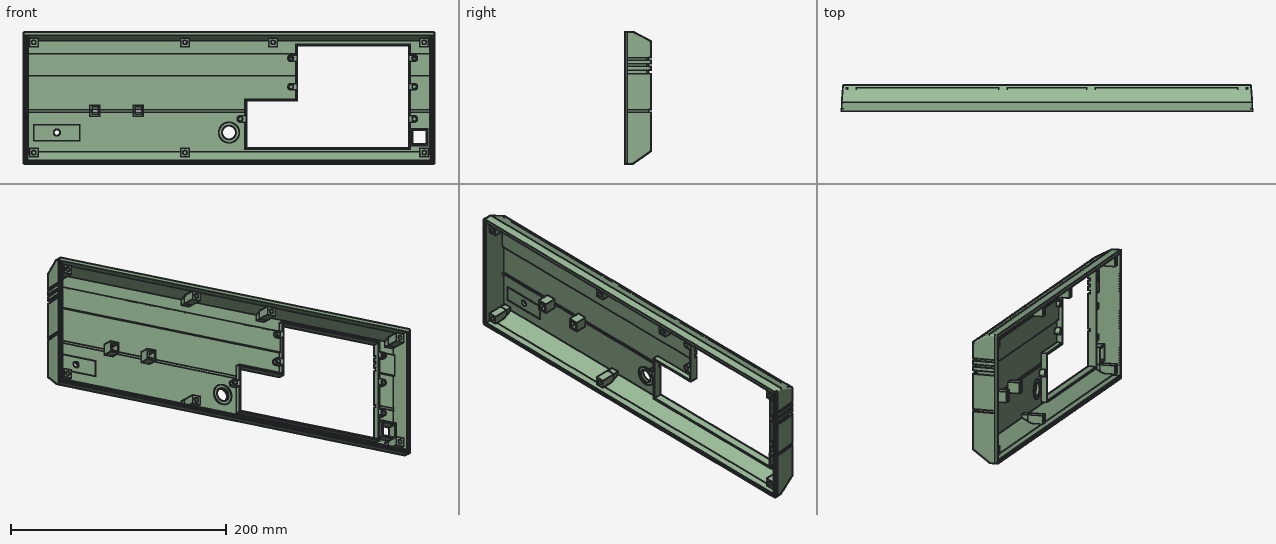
import cadquery as cq
LENGTH = 381.42
DEPTH = 24.54
HEIGHT = 122.5
HALF_LENGTH = LENGTH / 2
HALF_HEIGHT = HEIGHT / 2

RIM_DEPTH = 2.5
RIM_STEP = 0.3
END_TAPER_START = 8.25
END_TAPER = 1.6
EDGE_RADIUS = 1.6

TOP_SLOPE_START = 8.25
TOP_BACK_Z = 52.7
BOTTOM_SLOPE_START = 7.4
BOTTOM_BACK_Z = -49.2

FLOOR_Y = 22.0
END_WALL = 3.45
END_INNER_TAPER = 1.2
TOP_INNER_Z = 58.0
BOTTOM_INNER_Z = -57.8
TOP_FLOOR_Z = 53.1
BOTTOM_FLOOR_Z = -49.7
TOP_INNER_SLOPE_START = 8.5
BOTTOM_INNER_SLOPE_START = 7.0

RIM_GROOVE_INSET = 1.15
RIM_GROOVE_WIDTH = 1.2
RIM_GROOVE_DEPTH = 1.0

GROOVE_DEPTH = 2.1
GROOVE_END_DEPTH = 2.0
GROOVE_CHAMFER = 2.0
UPPER_GROOVES = [(36.2, 2.3), (30.5, 2.3), (24.2, 3.4)]
LOWER_GROOVE = (-12.0, 2.3)
BAND_TOP_Z = 40.8
BAND_BOTTOM_Z = 20.6
BAND_RISE = 2.0

WINDOW_RIGHT = 166.4
WINDOW_LEFT = 16.3
WINDOW_STEP_X = 63.4
WINDOW_TOP = 48.3
WINDOW_BOTTOM = -46.2
WINDOW_STEP_Z = -2.5
WINDOW_WALL = 1.5
FRAME_FRONT = 16.5

BOSS_DIAMETER = 5.75
BOSS_HOLE = 4.15
BOSS_WEB = 5.0
BOSS_RIGHT_X = 171.8
BOSS_STEP_X = 57.5
BOSS_LEFT_X = 10.5
BOSS_UPPER_Z = 36.9
BOSS_MIDDLE_Z = 10.4
BOSS_LOWER_Z = -19.4
BOSS_PLACES = [
    (BOSS_RIGHT_X, BOSS_UPPER_Z, -1),
    (BOSS_RIGHT_X, BOSS_MIDDLE_Z, -1),
    (BOSS_RIGHT_X, BOSS_LOWER_Z, -1),
    (BOSS_STEP_X, BOSS_UPPER_Z, 1),
    (BOSS_STEP_X, BOSS_MIDDLE_Z, 1),
    (BOSS_LEFT_X, BOSS_LOWER_Z, 1),
]

SQUARE_HOLE = 12.6
SQUARE_HOLE_X = 176.4
SQUARE_HOLE_Z = -36.2
SQUARE_WALL = 1.6
SQUARE_FRONT = 14.0

BLOCK_XS = [-124.3, -84.1]
BLOCK_Z = -11.6
BLOCK_LENGTH = 9.2
BLOCK_HEIGHT = 10.2
BLOCK_FRONT = 10.6
POCKET_LENGTH = 5.8
POCKET_HEIGHT = 6.8
POCKET_SHIFT = 0.3
POCKET_OVERCUT = 0.2

PAD_LEFT = -181.0
PAD_RIGHT = -138.4
PAD_TOP = -24.6
PAD_BOTTOM = -39.6
PAD_RISE = 0.5
PAD_HOLE = 5.75
PAD_HOLE_X = -159.5
PAD_HOLE_Z = -32.0

RING_X = 0.0
RING_Z = -32.0
RING_DIAMETER = 19.0
RING_HOLE = 12.6
RING_RISE = 0.8

POST_SIZE = 8.0
POST_HOLE = 4.0
POST_HOLE_DEPTH = 10.0
POST_FRONT = 1.8
POST_END_X = 180.9
POST_MIDDLE_X = 40.8
POST_TOP_Z = 51.6
POST_BOTTOM_Z = -50.6
POST_PLACES = [
    (-POST_END_X, POST_TOP_Z),
    (-POST_MIDDLE_X, POST_TOP_Z),
    (POST_MIDDLE_X, POST_TOP_Z),
    (POST_END_X, POST_TOP_Z),
    (-POST_END_X, POST_BOTTOM_Z),
    (-POST_MIDDLE_X, POST_BOTTOM_Z),
    (POST_END_X, POST_BOTTOM_Z),
]

TOLERANCE = 0.1


def box(x0, x1, y0, y1, z0, z1):
    """Box between two corners."""
    return cq.Workplane("XY").box(x1 - x0, y1 - y0, z1 - z0, centered=False).translate((x0, y0, z0))


def centred_box(x, z, size_x, size_z, y0, y1):
    """Box centred on a place on the floor, between two depths."""
    return box(x - size_x / 2, x + size_x / 2, y0, y1, z - size_z / 2, z + size_z / 2)


def cylinder(x, z, diameter, y0, y1):
    """Cylinder along Y between two depths."""
    return cq.Workplane("XZ", origin=(x, y0, z)).circle(diameter / 2).extrude(y0 - y1)


def prism_along_x(points):
    """Full-length prism from a Y-Z outline."""
    return cq.Workplane("YZ").polyline(points).close().extrude(HALF_LENGTH, both=True)


def prism_along_z(points):
    """Full-height prism from an X-Y outline."""
    return cq.Workplane("XY").polyline(points).close().extrude(HALF_HEIGHT, both=True)


def mirrored(half):
    """Close a half outline in X-Y by mirroring it about X = 0."""
    return half + [(-x, y) for x, y in reversed(half)]


def on_taper_start(edge):
    """True for the edge across an end face where its taper begins."""
    bounds = edge.BoundingBox()
    return bounds.ylen < TOLERANCE and abs(bounds.ymin - END_TAPER_START) < TOLERANCE


def outer_body():
    """Rim plus the body behind it, whose tapered ends have rounded edges."""
    profile = [
        (0, HALF_HEIGHT),
        (TOP_SLOPE_START, HALF_HEIGHT),
        (DEPTH, TOP_BACK_Z),
        (DEPTH, BOTTOM_BACK_Z),
        (BOTTOM_SLOPE_START, -HALF_HEIGHT),
        (0, -HALF_HEIGHT),
    ]
    end = HALF_LENGTH - RIM_STEP
    back_end = HALF_LENGTH - END_TAPER
    plan = mirrored([(end, 0), (end, END_TAPER_START), (back_end, DEPTH)])
    body = prism_along_x(profile).intersect(prism_along_z(plan))

    inner = back_end - TOLERANCE
    right_end = cq.selectors.BoxSelector((inner, TOLERANCE, -HEIGHT), (LENGTH, 2 * DEPTH, HEIGHT))
    left_end = cq.selectors.BoxSelector((-LENGTH, TOLERANCE, -HEIGHT), (-inner, 2 * DEPTH, HEIGHT))
    end_edges = body.edges(right_end).vals() + body.edges(left_end).vals()
    rounded = [edge for edge in end_edges if not on_taper_start(edge)]
    body = body.newObject(rounded).fillet(EDGE_RADIUS)

    rim = box(-HALF_LENGTH, HALF_LENGTH, 0, RIM_DEPTH, -HALF_HEIGHT, HALF_HEIGHT)
    return body.union(rim.edges("|Y").fillet(EDGE_RADIUS))


def cavity():
    """Room inside the shell, open to the front."""
    profile = [
        (0, TOP_INNER_Z),
        (TOP_INNER_SLOPE_START, TOP_INNER_Z),
        (FLOOR_Y, TOP_FLOOR_Z),
        (FLOOR_Y, BOTTOM_FLOOR_Z),
        (BOTTOM_INNER_SLOPE_START, BOTTOM_INNER_Z),
        (0, BOTTOM_INNER_Z),
    ]
    front_end = HALF_LENGTH - END_WALL
    plan = mirrored([(front_end, 0), (front_end - END_INNER_TAPER, FLOOR_Y)])
    return prism_along_x(profile).intersect(prism_along_z(plan))


def rim_groove():
    """Groove in the front of the rim along the bottom and both ends."""
    def plate(inset):
        x = HALF_LENGTH - inset
        return box(-x, x, 0, RIM_GROOVE_DEPTH, inset - HALF_HEIGHT, TOP_INNER_Z)

    return plate(RIM_GROOVE_INSET).cut(plate(RIM_GROOVE_INSET + RIM_GROOVE_WIDTH))


def groove(centre_z, width, chamfer=0):
    """Groove across the back face that wraps round both ends up to the rim."""
    end = HALF_LENGTH - GROOVE_END_DEPTH
    plan = mirrored([(end, 0), (end, END_TAPER_START), (end - END_TAPER, DEPTH - GROOVE_DEPTH)])
    core = prism_along_z(plan)
    if chamfer:
        core = core.faces(">Y").edges("|Z").chamfer(chamfer)
    return centred_box(0, centre_z, 2 * LENGTH, width, RIM_DEPTH, 2 * DEPTH).cut(core)


def window(margin, front, back):
    """L-shaped window outline grown by a margin, between two depths."""
    left = WINDOW_LEFT - margin
    step_x = WINDOW_STEP_X - margin
    right = WINDOW_RIGHT + margin
    bottom = WINDOW_BOTTOM - margin
    step_z = WINDOW_STEP_Z + margin
    top = WINDOW_TOP + margin
    outline = [
        (left, bottom),
        (right, bottom),
        (right, top),
        (step_x, top),
        (step_x, step_z),
        (left, step_z),
    ]
    return cq.Workplane("XZ", origin=(0, front, 0)).polyline(outline).close().extrude(front - back)


def boss(x, z, wall_side):
    """Round boss with a web that joins it to the window wall."""
    web_x = x + wall_side * BOSS_WEB / 2
    web = centred_box(web_x, z, BOSS_WEB, BOSS_DIAMETER, FRAME_FRONT, FLOOR_Y)
    return cylinder(x, z, BOSS_DIAMETER, FRAME_FRONT, FLOOR_Y).union(web)


def make_housing():
    shell = outer_body()
    body = shell.cut(cavity()).cut(rim_groove())

    inner_end = HALF_LENGTH - END_WALL
    body = body.union(
        box(-inner_end, inner_end, FLOOR_Y - BAND_RISE, FLOOR_Y, BAND_BOTTOM_Z, BAND_TOP_Z)
    )
    for centre_z, width in UPPER_GROOVES:
        body = body.cut(groove(centre_z, width, GROOVE_CHAMFER))
    body = body.cut(groove(*LOWER_GROOVE))

    body = body.union(window(WINDOW_WALL, FRAME_FRONT, FLOOR_Y))
    for x, z, wall_side in BOSS_PLACES:
        body = body.union(boss(x, z, wall_side))
    square = SQUARE_HOLE + 2 * SQUARE_WALL
    body = body.union(
        centred_box(SQUARE_HOLE_X, SQUARE_HOLE_Z, square, square, SQUARE_FRONT, FLOOR_Y)
    )
    for x in BLOCK_XS:
        body = body.union(centred_box(x, BLOCK_Z, BLOCK_LENGTH, BLOCK_HEIGHT, BLOCK_FRONT, FLOOR_Y))
    body = body.union(box(PAD_LEFT, PAD_RIGHT, FLOOR_Y - PAD_RISE, FLOOR_Y, PAD_BOTTOM, PAD_TOP))
    body = body.union(cylinder(RING_X, RING_Z, RING_DIAMETER, FLOOR_Y - RING_RISE, FLOOR_Y))
    for x, z in POST_PLACES:
        base = centred_box(x, z, POST_SIZE, POST_SIZE, FRAME_FRONT, FLOOR_Y)
        body = body.union(base.intersect(shell))

    body = body.cut(window(0, 0, DEPTH))
    for x, z, _ in BOSS_PLACES:
        body = body.cut(cylinder(x, z, BOSS_HOLE, FRAME_FRONT, FLOOR_Y))
    pocket_floor = DEPTH - GROOVE_DEPTH + POCKET_OVERCUT
    for x in BLOCK_XS:
        pocket_x = x + POCKET_SHIFT
        body = body.cut(centred_box(pocket_x, BLOCK_Z, POCKET_LENGTH, POCKET_HEIGHT, 0, pocket_floor))
    body = body.cut(centred_box(SQUARE_HOLE_X, SQUARE_HOLE_Z, SQUARE_HOLE, SQUARE_HOLE, 0, DEPTH))
    body = body.cut(cylinder(PAD_HOLE_X, PAD_HOLE_Z, PAD_HOLE, 0, DEPTH))
    body = body.cut(cylinder(RING_X, RING_Z, RING_HOLE, 0, DEPTH))
    return body


def make_post(x, z):
    """Square screw post standing on its base, with a blind hole from the front."""
    body = centred_box(x, z, POST_SIZE, POST_SIZE, POST_FRONT, FRAME_FRONT)
    return body.cut(cylinder(x, z, POST_HOLE, POST_FRONT, POST_FRONT + POST_HOLE_DEPTH))


housing = make_housing()
posts = [make_post(x, z).cut(housing) for x, z in POST_PLACES]

result = cq.Compound.makeCompound([housing.val(), *[post.val() for post in posts]])